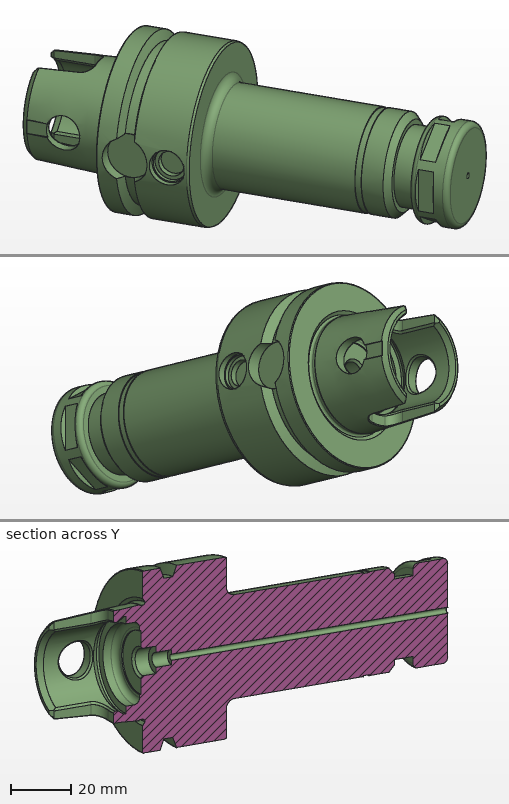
import cadquery as cq
import math

LENGTH = 152.0
TAPER_END = 30.2
FLANGE_FRONT = 31.6
FLANGE_BACK = 64.8
BODY_END = 131.0
NUT_FRONT = 138.2

TAPER_RADIUS = 18.4
TAPER_SLOPE = 0.055
TAPER_CHAMFER_LENGTH = 1.8
TAPER_CHAMFER_RISE = 1.2
RELIEF_LENGTH = 0.5
RELIEF_DEPTH = 0.3
ROOT_RADIUS = 21.9
ROOT_FILLET = 0.9

FLANGE_RADIUS = 31.5
FLANGE_CHAMFER = 0.3
FLANGE_BACK_CHAMFER_LENGTH = 0.9
GROOVE_CENTER = 41.8
GROOVE_FLOOR_RADIUS = 27.8
GROOVE_FLOOR_WIDTH = 3.3
GROOVE_WIDTH = 6.4

BODY_RADIUS = 18.01
BODY_FILLET = 3.0
BAND_CENTER = 119.8
BAND_WIDTH = 2.3
BAND_DEPTH = 0.3
BODY_CHAMFER = 2.3
NECK_RADIUS = 14.0

NUT_RADIUS = 18.16
NUT_FRONT_ROUND = 1.8
NUT_BACK_ROUND = 2.0
FLAT_COUNT = 6
FLAT_START = 140.8
FLAT_LENGTH = 5.5
FLAT_END_LEAN = 0.5
FLAT_DISTANCE = 16.49

MOUTH_RADIUS = 16.1
MOUTH_CHAMFER = 2.3
ENTRY_RADIUS = 15.2
CLAMP_START = 22.0
CLAMP_FLARE = 2.1
CLAMP_RADIUS = 16.7
CLAMP_END = 25.1
BORE_RADIUS = 14.1
BORE_FLOOR = 30.4
BORE_FLOOR_FILLET = 2.1
SEAT_RADIUS = 11.0
SEAT_DEPTH = 0.5
THREAD_MOUTH_RADIUS = 5.5
THREAD_RADIUS = 4.64
THREAD_DEPTH = 6.1
COOLANT_RADIUS = 2.51
COOLANT_DEPTH = 6.1
THROUGH_RADIUS = 0.99

SLOT_WIDTH = 14.5
SLOT_DEPTH = 20.0
SLOT_CORNER = 4.1
SLOT_MOUTH_LENGTH = 1.4
SLOT_MOUTH_RISE = 0.9
SLOT_EDGE_CHAMFER = 0.3
INNER_EDGE_CHAMFER = 0.6

CROSS_HOLE_X = 14.9
CROSS_HOLE_DIAMETER = 12.5
KEYWAY_START = 1.7
KEYWAY_WIDTH = 5.0
KEYWAY_FLOOR = 18.1
POCKET_DIAMETER = 16.0
POCKET_FLOOR = 26.5
SCREW_X = 56.8
SCREW_MOUTH_DIAMETER = 12.5
SCREW_MOUTH_FLOOR = 28.9
SCREW_DIAMETER = 11.5
SCREW_SHOULDER = 27.4
SCREW_SEAT_DIAMETER = 9.0
SCREW_FLOOR = 25.1


def taper_radius(x):
    return TAPER_RADIUS + TAPER_SLOPE * x


def outer_body():
    relief_radius = taper_radius(TAPER_END) - RELIEF_DEPTH
    relief_end = TAPER_END + RELIEF_LENGTH
    groove_front = GROOVE_CENTER - GROOVE_WIDTH / 2
    groove_back = GROOVE_CENTER + GROOVE_WIDTH / 2
    floor_front = GROOVE_CENTER - GROOVE_FLOOR_WIDTH / 2
    floor_back = GROOVE_CENTER + GROOVE_FLOOR_WIDTH / 2
    band_start = BAND_CENTER - BAND_WIDTH / 2
    band_end = BAND_CENTER + BAND_WIDTH / 2
    diagonal = math.sqrt(0.5)
    profile = (
        cq.Workplane("XY")
        .moveTo(0, 0)
        .lineTo(0, TAPER_RADIUS - TAPER_CHAMFER_RISE)
        .lineTo(TAPER_CHAMFER_LENGTH, taper_radius(TAPER_CHAMFER_LENGTH))
        .lineTo(TAPER_END, taper_radius(TAPER_END))
        .lineTo(relief_end, relief_radius)
        .lineTo(FLANGE_FRONT, relief_radius)
        .threePointArc(
            (
                FLANGE_FRONT + ROOT_FILLET * diagonal,
                relief_radius + ROOT_FILLET * (1 - diagonal),
            ),
            (FLANGE_FRONT + ROOT_FILLET, relief_radius + ROOT_FILLET),
        )
        .lineTo(FLANGE_FRONT, ROOT_RADIUS)
        .lineTo(FLANGE_FRONT, FLANGE_RADIUS - FLANGE_CHAMFER)
        .lineTo(FLANGE_FRONT + FLANGE_CHAMFER, FLANGE_RADIUS)
        .lineTo(groove_front, FLANGE_RADIUS)
        .lineTo(floor_front, GROOVE_FLOOR_RADIUS)
        .lineTo(floor_back, GROOVE_FLOOR_RADIUS)
        .lineTo(groove_back, FLANGE_RADIUS)
        .lineTo(FLANGE_BACK - FLANGE_BACK_CHAMFER_LENGTH, FLANGE_RADIUS)
        .lineTo(FLANGE_BACK, FLANGE_RADIUS - FLANGE_CHAMFER)
        .lineTo(FLANGE_BACK, BODY_RADIUS + BODY_FILLET)
        .threePointArc(
            (
                FLANGE_BACK + BODY_FILLET * (1 - diagonal),
                BODY_RADIUS + BODY_FILLET * (1 - diagonal),
            ),
            (FLANGE_BACK + BODY_FILLET, BODY_RADIUS),
        )
        .lineTo(band_start, BODY_RADIUS)
        .lineTo(band_start, BODY_RADIUS - BAND_DEPTH)
        .lineTo(band_end, BODY_RADIUS - BAND_DEPTH)
        .lineTo(band_end, BODY_RADIUS)
        .lineTo(BODY_END - BODY_CHAMFER, BODY_RADIUS)
        .lineTo(BODY_END, BODY_RADIUS - BODY_CHAMFER)
        .lineTo(BODY_END, NECK_RADIUS)
        .lineTo(NUT_FRONT, NECK_RADIUS)
        .lineTo(NUT_FRONT, NUT_RADIUS - NUT_FRONT_ROUND)
        .threePointArc(
            (
                NUT_FRONT + NUT_FRONT_ROUND * (1 - diagonal),
                NUT_RADIUS - NUT_FRONT_ROUND * (1 - diagonal),
            ),
            (NUT_FRONT + NUT_FRONT_ROUND, NUT_RADIUS),
        )
        .lineTo(LENGTH - NUT_BACK_ROUND, NUT_RADIUS)
        .threePointArc(
            (
                LENGTH - NUT_BACK_ROUND * (1 - diagonal),
                NUT_RADIUS - NUT_BACK_ROUND * (1 - diagonal),
            ),
            (LENGTH, NUT_RADIUS - NUT_BACK_ROUND),
        )
        .lineTo(LENGTH, 0)
        .close()
    )
    return profile.revolve(360, (0, 0, 0), (1, 0, 0))


def stepped_bore():
    seat_floor = BORE_FLOOR + SEAT_DEPTH
    thread_chamfer = THREAD_MOUTH_RADIUS - THREAD_RADIUS
    thread_end = seat_floor + THREAD_DEPTH
    coolant_end = thread_end + COOLANT_DEPTH
    fillet_center_x = BORE_FLOOR - BORE_FLOOR_FILLET
    fillet_center_r = BORE_RADIUS - BORE_FLOOR_FILLET
    fillet_offset = BORE_FLOOR_FILLET * math.sqrt(0.5)
    profile = (
        cq.Workplane("XY")
        .moveTo(0, 0)
        .lineTo(0, MOUTH_RADIUS)
        .lineTo(MOUTH_CHAMFER, ENTRY_RADIUS)
        .lineTo(CLAMP_START, ENTRY_RADIUS)
        .lineTo(CLAMP_START + CLAMP_FLARE, CLAMP_RADIUS)
        .lineTo(CLAMP_END, CLAMP_RADIUS)
        .lineTo(CLAMP_END, BORE_RADIUS)
        .lineTo(fillet_center_x, BORE_RADIUS)
        .threePointArc(
            (fillet_center_x + fillet_offset, fillet_center_r + fillet_offset),
            (BORE_FLOOR, fillet_center_r),
        )
        .lineTo(BORE_FLOOR, SEAT_RADIUS)
        .lineTo(seat_floor, SEAT_RADIUS)
        .lineTo(seat_floor, THREAD_MOUTH_RADIUS)
        .lineTo(seat_floor + thread_chamfer, THREAD_RADIUS)
        .lineTo(thread_end, THREAD_RADIUS)
        .lineTo(thread_end, COOLANT_RADIUS)
        .lineTo(coolant_end, COOLANT_RADIUS)
        .lineTo(coolant_end, THROUGH_RADIUS)
        .lineTo(LENGTH, THROUGH_RADIUS)
        .lineTo(LENGTH, 0)
        .close()
    )
    return profile.revolve(360, (0, 0, 0), (1, 0, 0))


def drive_slot():
    half_width = SLOT_WIDTH / 2
    mouth_half_width = half_width + SLOT_MOUTH_RISE
    return (
        cq.Workplane("XY")
        .moveTo(0, -mouth_half_width)
        .lineTo(SLOT_MOUTH_LENGTH, -half_width)
        .lineTo(SLOT_DEPTH, -half_width)
        .lineTo(SLOT_DEPTH, half_width)
        .lineTo(SLOT_MOUTH_LENGTH, half_width)
        .lineTo(0, mouth_half_width)
        .close()
        .extrude(FLANGE_RADIUS, both=True)
        .edges("|Z and >X")
        .fillet(SLOT_CORNER)
    )


def radial_hole(x, diameter, floor, side):
    """Round hole along Y, from outside the flange on one side down to the floor."""
    depth = FLANGE_RADIUS - floor
    return cq.Workplane(
        cq.Solid.makeCylinder(
            diameter / 2, depth, cq.Vector(x, side * FLANGE_RADIUS, 0), cq.Vector(0, -side, 0)
        )
    )


def nut_flat(angle):
    """Flat on the nut with end walls that lean outwards."""
    flat_end = FLAT_START + FLAT_LENGTH
    cutter = (
        cq.Workplane("XY")
        .moveTo(FLAT_START, FLAT_DISTANCE)
        .lineTo(flat_end, FLAT_DISTANCE)
        .lineTo(flat_end + FLAT_END_LEAN, NUT_RADIUS)
        .lineTo(FLAT_START - FLAT_END_LEAN, NUT_RADIUS)
        .close()
        .extrude(NUT_RADIUS, both=True)
    )
    return cutter.rotate((0, 0, 0), (1, 0, 0), angle)


def keyway(side):
    """Shallow flat-bottomed groove from the taper's end to the cross hole."""
    cutter = cq.Workplane("XY").box(
        CROSS_HOLE_X - KEYWAY_START, TAPER_RADIUS, KEYWAY_WIDTH, centered=(False, False, True)
    )
    cutter = cutter.translate((KEYWAY_START, KEYWAY_FLOOR, 0))
    return cutter if side > 0 else cutter.mirror("XZ")


def soften_openings(part):
    """Chamfer the slot and cross holes inside the bore, then the slot on the taper."""
    opening_end = SLOT_DEPTH + SLOT_EDGE_CHAMFER
    inside = cq.selectors.BoxSelector(
        (2 * MOUTH_CHAMFER, -ENTRY_RADIUS, -ENTRY_RADIUS - 0.2),
        (opening_end, ENTRY_RADIUS, ENTRY_RADIUS + 0.2),
    )
    part = part.edges(inside).edges("not |Z").chamfer(INNER_EDGE_CHAMFER)
    half_width = SLOT_WIDTH / 2 + SLOT_EDGE_CHAMFER
    for side in (-1, 1):
        outside = cq.selectors.BoxSelector(
            (2 * TAPER_CHAMFER_LENGTH, -half_width, side * (ENTRY_RADIUS + 0.8)),
            (opening_end, half_width, side * FLANGE_RADIUS),
        )
        part = part.edges(outside).edges("not |Z").chamfer(SLOT_EDGE_CHAMFER)
    return part


result = outer_body().cut(stepped_bore()).cut(drive_slot())

for side in (-1, 1):
    result = result.cut(radial_hole(CROSS_HOLE_X, CROSS_HOLE_DIAMETER, 0, side))

result = soften_openings(result)

for side in (-1, 1):
    result = result.cut(keyway(side))
    result = result.cut(radial_hole(GROOVE_CENTER, POCKET_DIAMETER, POCKET_FLOOR, side))
    result = result.cut(radial_hole(SCREW_X, SCREW_MOUTH_DIAMETER, SCREW_MOUTH_FLOOR, side))
    result = result.cut(radial_hole(SCREW_X, SCREW_DIAMETER, SCREW_SHOULDER, side))
    result = result.cut(radial_hole(SCREW_X, SCREW_SEAT_DIAMETER, SCREW_FLOOR, side))

for index in range(FLAT_COUNT):
    result = result.cut(nut_flat(index * 360 / FLAT_COUNT))